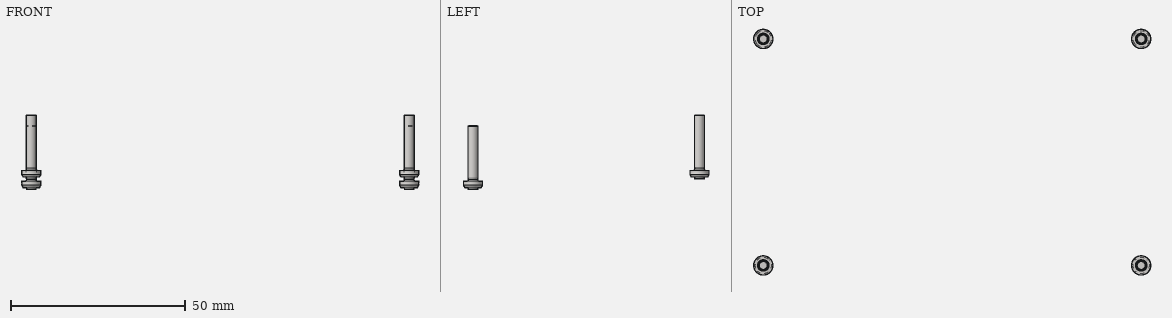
import cadquery as cq

overall_length = 114.1
overall_width = 70.6
overall_height = 21.5
row_step = 3.1

head_diameter = 5.6
head_top_z = 2.4
rim_bottom_z = 1.3
rim_hollow = 0.06
head_face_diameter = 4.7
boss_diameter = 2.7
boss_height = 0.5

shank_diameter = 3.0
neck_diameter = 2.7
neck_base_diameter = 3.3
neck_taper_length = 0.5
tip_diameter = 2.3
tip_chamfer_length = 0.2

screw_length = overall_height - row_step
half_spacing_x = (overall_length - head_diameter) / 2
half_spacing_y = (overall_width - head_diameter) / 2


def make_screw():
    """Upright screw, head down, turned about the Z axis with the boss standing on Z = 0."""
    rim_radius = head_diameter / 2
    rim_middle_z = (rim_bottom_z + head_top_z) / 2
    neck_z = head_top_z + neck_taper_length
    shank_z = neck_z + neck_taper_length
    profile = (
        cq.Workplane("XZ")
        .lineTo(boss_diameter / 2, 0)
        .lineTo(boss_diameter / 2, boss_height)
        .lineTo(head_face_diameter / 2, boss_height)
        .lineTo(rim_radius, rim_bottom_z)
        .threePointArc((rim_radius - rim_hollow, rim_middle_z), (rim_radius, head_top_z))
        .lineTo(neck_base_diameter / 2, head_top_z)
        .lineTo(neck_diameter / 2, neck_z)
        .lineTo(shank_diameter / 2, shank_z)
        .lineTo(shank_diameter / 2, screw_length - tip_chamfer_length)
        .lineTo(tip_diameter / 2, screw_length)
        .lineTo(0, screw_length)
        .close()
    )
    return profile.revolve(360, (0, 0, 0), (0, 1, 0))


screws = []
for row_y, row_z in ((-half_spacing_y, row_step), (half_spacing_y, 0)):
    for column_x in (-half_spacing_x, half_spacing_x):
        screws.append(make_screw().translate((column_x, row_y, row_z)).val())

result = cq.Compound.makeCompound(screws)